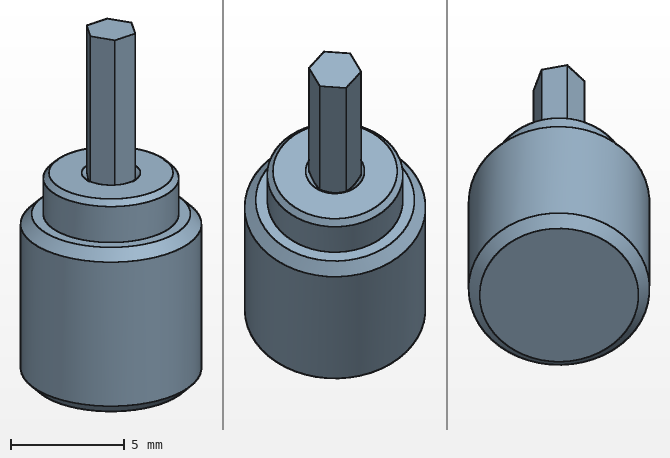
import cadquery as cq
import math

TOTAL_HEIGHT = 17.0

BODY_DIAMETER = 8.0
BODY_HEIGHT = 8.0
BODY_CHAMFER = 0.5
COLLAR_DIAMETER = 6.0
COLLAR_HEIGHT = 2.0
COLLAR_CHAMFER = 0.25
HOUSING_HEIGHT = BODY_HEIGHT + COLLAR_HEIGHT

HEX_ACROSS_FLATS = 2.0
HEX_SIDES = 6
HEX_ACROSS_CORNERS = HEX_ACROSS_FLATS / math.cos(math.pi / HEX_SIDES)
QUARTER_TURN = 90.0
SOCKET_DEPTH = 5.0
SOCKET_FLOOR = HOUSING_HEIGHT - SOCKET_DEPTH

LEAD_IN_DIAMETER = 2.6
LEAD_IN_ANGLE = 90.0
LEAD_IN_DEPTH = (LEAD_IN_DIAMETER - HEX_ACROSS_FLATS) / 2 / math.tan(math.radians(LEAD_IN_ANGLE / 2))


def hex_prism(bottom, top):
    """Vertical hexagonal prism with flats facing +X and -X."""
    return (
        cq.Workplane("XY")
        .polygon(HEX_SIDES, HEX_ACROSS_CORNERS)
        .extrude(top - bottom)
        .rotate((0, 0, 0), (0, 0, 1), QUARTER_TURN)
        .translate((0, 0, bottom))
    )


def lead_in_cone():
    """Cone frustum that flares the socket mouth."""
    cone = cq.Solid.makeCone(
        HEX_ACROSS_FLATS / 2,
        LEAD_IN_DIAMETER / 2,
        LEAD_IN_DEPTH,
        pnt=cq.Vector(0, 0, HOUSING_HEIGHT - LEAD_IN_DEPTH),
    )
    return cq.Workplane("XY").add(cone)


def make_housing():
    """Stepped cylinder with chamfered rims and a hex socket."""
    body = (
        cq.Workplane("XY")
        .circle(BODY_DIAMETER / 2)
        .extrude(BODY_HEIGHT)
        .faces("<Z or >Z")
        .edges()
        .chamfer(BODY_CHAMFER)
    )
    collar = (
        cq.Workplane("XY")
        .workplane(offset=BODY_HEIGHT)
        .circle(COLLAR_DIAMETER / 2)
        .extrude(COLLAR_HEIGHT)
        .faces(">Z")
        .edges()
        .chamfer(COLLAR_CHAMFER)
    )
    socket = hex_prism(SOCKET_FLOOR, HOUSING_HEIGHT)
    return body.union(collar).cut(socket).cut(lead_in_cone())


def make_hex_bit():
    """Hexagonal bit standing on the socket floor."""
    return hex_prism(SOCKET_FLOOR, TOTAL_HEIGHT)


housing = make_housing()
hex_bit = make_hex_bit()

result = cq.Compound.makeCompound([housing.solids().val(), hex_bit.val()])